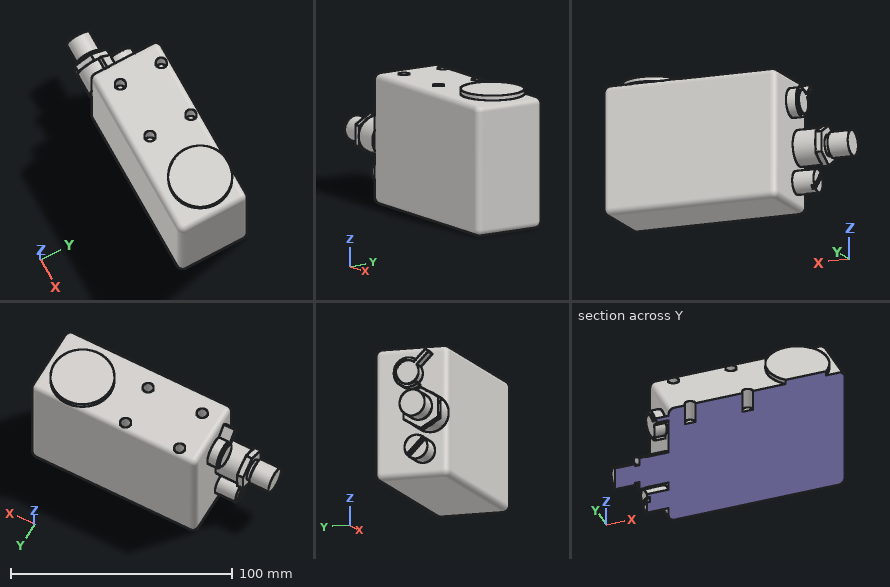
import cadquery as cq
import math

total_length = 111.7
housing_front = 26.0
housing_width = 35.7
housing_height = 60.8
edge_radius = 3.0

cap_radius = 14.5
cap_height = 2.2
cap_x = 92.7
cap_y = 2.9

hole_diameter = 5.0
hole_depth = 10.0
hole_columns = (36.6, 64.6)
hole_rows = (-7.6, 13.5)

connector_y = -9.3
connector_z = 29.0
plug_radius = 6.0
plug_end = 9.9
neck_radius = 5.0
neck_end = 11.8
nut_across_flats = 16.5
nut_end = 15.0
collar_radius = 8.5

screw_y = -5.7
screw_z = 12.1
screw_radius = 5.5
screw_start = 15.5
slot_width = 1.7
slot_depth = 1.3

latch_y = 0.1
latch_z = 48.0
hub_radius = 5.5
latch_start = 20.2
pointer_reach = 13.2
pointer_width = 1.9
guard_radius = 6.8
guard_start = 21.2
guard_gap_end = -51.0

diagonal_angle = 45.0


def front_plane(x, y, z):
    """Plane facing +X whose local x axis is -Y and local y axis is -Z."""
    return cq.Workplane(cq.Plane((x, y, z), xDir=(0, -1, 0), normal=(1, 0, 0)))


def cylinder(x_start, x_end, y, z, radius):
    return front_plane(x_start, y, z).circle(radius).extrude(x_end - x_start)


def diagonal_bar(x_start, x_end, y, z, near, far, width):
    """Bar along the diagonal between two distances from the centre."""
    bar = front_plane(x_start, y, z).center((near + far) / 2, 0).rect(far - near, width)
    return bar.extrude(x_end - x_start).rotate((0, y, z), (1, y, z), -diagonal_angle)


def make_housing():
    length = total_length - housing_front
    block = cq.Workplane("XY").box(length, housing_width, housing_height, centered=(False, True, False))
    block = block.translate((housing_front, 0, 0)).edges().fillet(edge_radius)
    cap = cq.Workplane("XY", origin=(cap_x, cap_y, housing_height)).circle(cap_radius).extrude(cap_height)
    hole_centers = [(x, y) for x in hole_columns for y in hole_rows]
    holes = cq.Workplane("XY", origin=(0, 0, housing_height)).pushPoints(hole_centers)
    return block.union(cap).cut(holes.circle(hole_diameter / 2).extrude(-hole_depth))


def make_connector(x_end):
    plug = cylinder(0, plug_end, connector_y, connector_z, plug_radius)
    neck = cylinder(plug_end, neck_end, connector_y, connector_z, neck_radius)
    across_corners = nut_across_flats / math.cos(math.radians(30))
    nut = front_plane(neck_end, connector_y, connector_z).transformed(rotate=(0, 0, 90))
    nut = nut.polygon(6, across_corners).extrude(nut_end - neck_end)
    collar = cylinder(nut_end, x_end, connector_y, connector_z, collar_radius)
    return plug.union(neck).union(nut).union(collar)


def make_screw(x_end):
    screw = cylinder(screw_start, x_end, screw_y, screw_z, screw_radius)
    slot = diagonal_bar(screw_start, screw_start + slot_depth, screw_y, screw_z,
                        -2 * screw_radius, 2 * screw_radius, slot_width)
    return screw.cut(slot)


def make_latch(x_end):
    hub = cylinder(latch_start, x_end, latch_y, latch_z, hub_radius)
    pointer = diagonal_bar(latch_start, x_end, latch_y, latch_z, 0, pointer_reach, pointer_width)
    guard = cylinder(guard_start, x_end, latch_y, latch_z, guard_radius)
    wedge_reach = 2 * guard_radius
    corners = [(0, 0)]
    for angle in (guard_gap_end, 0, diagonal_angle):
        turn = math.radians(angle)
        corners.append((wedge_reach * math.cos(turn), -wedge_reach * math.sin(turn)))
    wedge = front_plane(guard_start, latch_y, latch_z).polyline(corners).close()
    guard = guard.cut(wedge.extrude(x_end - guard_start))
    return hub.union(pointer).union(guard)


result = make_housing()
for make_fitting in (make_connector, make_screw, make_latch):
    result = result.union(make_fitting(housing_front))